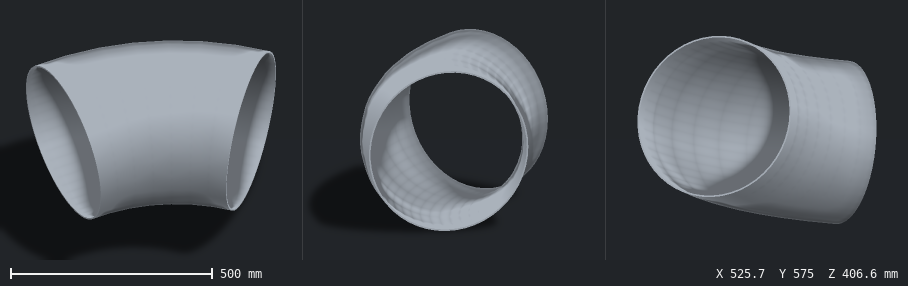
import cadquery as cq
import math

length_y = 575.0
bend_angle = 45.0
bend_ratio = 1.5
wall = 4.0

outer_bend_radius = length_y / math.sin(math.radians(bend_angle))
outer_diameter = outer_bend_radius / (bend_ratio + 0.5)
inner_diameter = outer_diameter - 2 * wall
bend_radius = bend_ratio * outer_diameter


def pipe_elbow():
    """Sweep the pipe's ring section around the bend axis."""
    ring = cq.Workplane("XZ").circle(outer_diameter / 2).circle(inner_diameter / 2)
    axis_start = (bend_radius, 0)
    axis_end = (bend_radius, -1)
    return ring.revolve(bend_angle, axis_start, axis_end)


result = pipe_elbow()